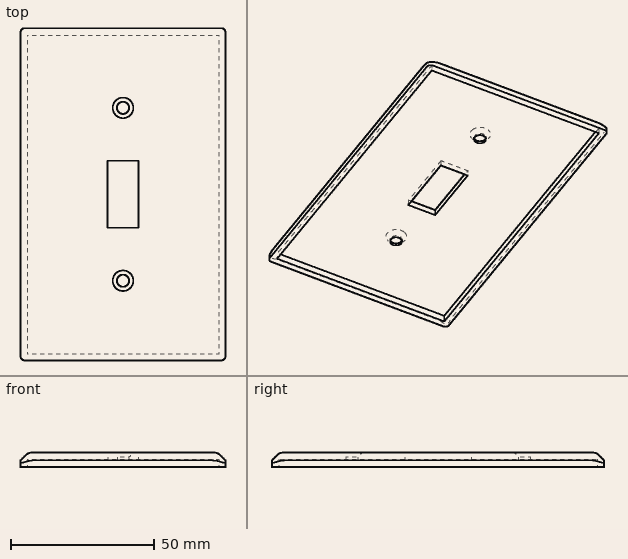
import cadquery as cq

width = 71.5
length = 115.9
height = 5.1

rim_height = 2.3
bevel_angle = 45
corner_radius = 1.5
hip_radius = 6.4
shoulder_radius = 2.8

wall_thickness = 2.4

toggle_width = 10.7
toggle_length = 23.3

screw_spacing = 60.3
screw_hole_diameter = 4.2
countersink_diameter = 7.2
countersink_angle = 90


def straight_block():
    """Rectangular block with rounded upright corners."""
    block = cq.Workplane("XY").box(width, length, height, centered=(True, True, False))
    return block.edges("|Z").fillet(corner_radius)


def bevelled_cap():
    """Pyramid frustum, wider than the plate at its base, with rounded hips and shoulder.

    At 45 degrees its sides pass through the plate outline at the rim height.
    """
    base_width = width + 2 * rim_height
    base_length = length + 2 * rim_height
    cap = cq.Workplane("XY").rect(base_width, base_length).extrude(height, taper=bevel_angle)
    cap = cap.edges("not #Z").fillet(hip_radius)
    return cap.faces(">Z").edges().fillet(shoulder_radius)


def underside_cavity():
    """Plain pocket, open at the bottom, that leaves the face and the side walls."""
    return cq.Workplane("XY").box(
        width - 2 * wall_thickness,
        length - 2 * wall_thickness,
        height - wall_thickness,
        centered=(True, True, False),
    )


def top_plane(plate):
    return plate.faces(">Z").workplane(origin=(0, 0, height))


def cut_toggle_opening(plate):
    return top_plane(plate).rect(toggle_width, toggle_length).cutThruAll()


def cut_screw_holes(plate):
    holes = top_plane(plate).pushPoints([(0, side * screw_spacing / 2) for side in (-1, 1)])
    return holes.cskHole(screw_hole_diameter, countersink_diameter, countersink_angle)


plate = straight_block().intersect(bevelled_cap())
plate = plate.cut(underside_cavity())
plate = cut_toggle_opening(plate)
result = cut_screw_holes(plate)